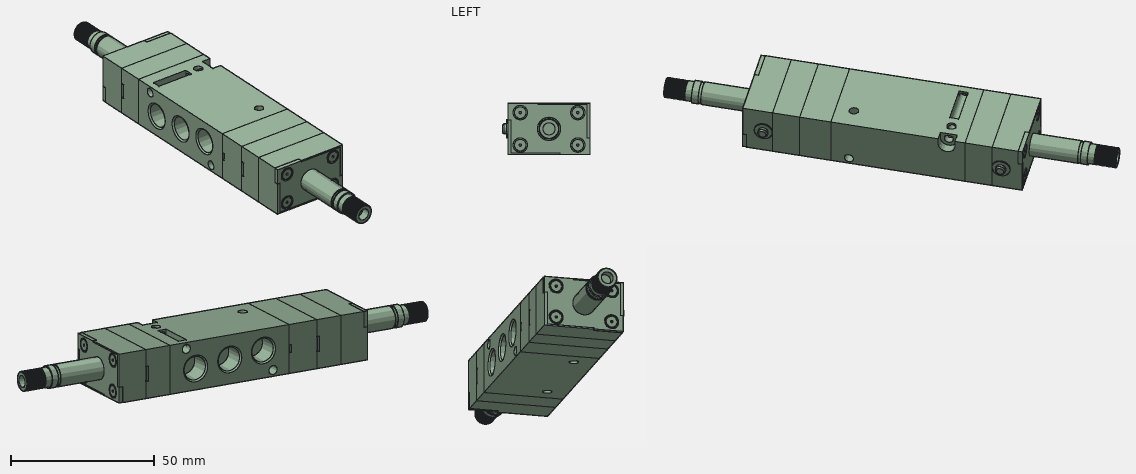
import cadquery as cq


length = 161.5
width = 28.6
height = 18.0
end_block_length = 10.8
adapter_length = 9.7
spacer_length = 11.1
stack_half_length = 50.0

adapter_left_x = -stack_half_length + end_block_length
valve_left_x = adapter_left_x + adapter_length
adapter_right_x = stack_half_length - end_block_length - adapter_length
spacer_left_x = adapter_right_x - spacer_length
valve_length = spacer_left_x - valve_left_x

front_y = -width / 2
back_y = width / 2
top_z = height / 2

mount_hole_dia = 3.2
mount_left_x = -23.0
mount_right_x = 12.0
cross_hole_z = 6.6
vertical_hole_y = 6.8
slot_front_y = -11.6
slot_back_y = 2.6
head_recess_dia = 6.0
head_recess_depth = 3.4

port_centers = [(-19.2, -1.1), (-5.5, 0.0), (8.0, 1.1)]
port_dia = 8.5
port_mouth_dia = 9.7
port_chamfer = (port_mouth_dia - port_dia) / 2
port_depth = 8.0

notch_length = 1.0
notch_depth = 1.0
adapter_notch_height = 5.5
spacer_notch_height = 2.7

screw_y = 10.0
screw_z = 5.7
screw_head_dia = 4.0
screw_clearance_dia = 5.0
screw_ring_depth = 0.8
socket_dia = 0.8
socket_depth = 0.8
relief_depth = 0.08
corner_length_y = 10.5
corner_length_z = 5.8
side_relief_length = 1.55
face_relief_width_y = 1.07
face_relief_width_z = 0.5

tube_radius = 4.0
neck_radius = 3.5
thread_length = 7.6
thread_turns = 10
thread_depth = 0.25
neck_end = 10.0
groove_start = 12.5
groove_width = 1.0
groove_depth = 0.3
bore_radius = 2.1
bore_depth = 3.2

button_x = 42.5
button_base_dia = 6.5
button_base_height = 0.5
button_dia = 3.5
button_height = 2.0
button_chamfer = 0.5


def block(x_start, x_length):
    """Full-section block of the stack, starting at x_start."""
    return cq.Workplane("XY").box(x_length, width, height).translate((x_start + x_length / 2, 0, 0))


def box_between(low, high):
    """Box between two opposite corners."""
    size = [b - a for a, b in zip(low, high)]
    return cq.Workplane("XY").box(*size, centered=False).translate(low)


def cylinder_y(x, z, y_start, y_length, dia):
    """Cylinder along +Y from y_start."""
    axis_start = cq.Vector(x, y_start, z)
    return cq.Workplane(cq.Solid.makeCylinder(dia / 2, y_length, axis_start, cq.Vector(0, 1, 0)))


def notched_block(x_start, x_length, notch_height):
    """Block with a small notch in the front face at its left joint."""
    notch = box_between(
        (x_start, front_y, -notch_height / 2),
        (x_start + notch_length, front_y + notch_depth, notch_height / 2),
    )
    return block(x_start, x_length).cut(notch)


def make_port(x, z):
    """Blind port from the front face with a chamfered mouth."""
    mouth = cq.Solid.makeCone(
        port_mouth_dia / 2, port_dia / 2, port_chamfer, cq.Vector(x, front_y, z), cq.Vector(0, 1, 0)
    )
    return cylinder_y(x, z, front_y, port_depth, port_dia).union(cq.Workplane(mouth))


def make_valve_body():
    body = block(valve_left_x, valve_length)
    for x, z in port_centers:
        body = body.cut(make_port(x, z))

    for x, z in [(mount_left_x, cross_hole_z), (mount_right_x, -cross_hole_z)]:
        body = body.cut(cylinder_y(x, z, front_y, width, mount_hole_dia))
    vertical_holes = (
        cq.Workplane("XY", origin=(0, 0, -top_z))
        .pushPoints([(mount_left_x, vertical_hole_y), (mount_right_x, vertical_hole_y)])
        .circle(mount_hole_dia / 2)
        .extrude(height)
    )
    body = body.cut(vertical_holes)

    slot = box_between(
        (mount_left_x - mount_hole_dia / 2, slot_front_y, cross_hole_z),
        (mount_left_x + mount_hole_dia / 2, slot_back_y, top_z),
    )
    recess_y = back_y - head_recess_depth
    recess_round = cylinder_y(mount_left_x, cross_hole_z, recess_y, head_recess_depth, head_recess_dia)
    recess_opening = box_between(
        (mount_left_x - head_recess_dia / 2, recess_y, cross_hole_z),
        (mount_left_x + head_recess_dia / 2, back_y, top_z),
    )
    return body.cut(slot).cut(recess_round).cut(recess_opening)


def corner_frame(y_thickness, z_thickness, y_arm, z_arm, y_sign, z_sign):
    """L-shaped strip on the -X end face, along both edges that meet at the signed corner."""
    corner_y = y_sign * width / 2
    corner_z = z_sign * height / 2
    arm_end_y = corner_y - y_sign * y_arm
    arm_end_z = corner_z - z_sign * z_arm
    inner_y = corner_y - y_sign * y_thickness
    inner_z = corner_z - z_sign * z_thickness
    outline = [
        (corner_y, corner_z),
        (arm_end_y, corner_z),
        (arm_end_y, inner_z),
        (inner_y, inner_z),
        (inner_y, arm_end_z),
        (corner_y, arm_end_z),
    ]
    return cq.Workplane("YZ", origin=(-stack_half_length, 0, 0)).polyline(outline).close()


def make_end_block():
    """End block of the -X end."""
    body = block(-stack_half_length, end_block_length)

    for sign in (1, -1):
        side_relief = corner_frame(relief_depth, relief_depth, corner_length_y, corner_length_z, sign, sign)
        body = body.cut(side_relief.extrude(side_relief_length))
        face_relief = corner_frame(
            face_relief_width_y, face_relief_width_z,
            width - corner_length_y, height - corner_length_z, sign, -sign,
        )
        body = body.cut(face_relief.extrude(relief_depth))

    end_face = cq.Workplane("YZ", origin=(-stack_half_length, 0, 0))
    screws = end_face.rect(2 * screw_y, 2 * screw_z, forConstruction=True).vertices()
    rings = screws.circle(screw_clearance_dia / 2).circle(screw_head_dia / 2).extrude(screw_ring_depth)
    sockets = screws.circle(socket_dia / 2).extrude(socket_depth)
    return body.cut(rings).cut(sockets)


def make_tube():
    """Solenoid tube of the -X end, turned about the X axis."""
    end_x = -length / 2
    pitch = thread_length / thread_turns
    root_radius = neck_radius - thread_depth
    crest_width = pitch / 2 - thread_depth
    groove_x = end_x + groove_start
    groove_radius = tube_radius - groove_depth

    points = [(end_x + bore_depth, 0), (end_x + bore_depth, bore_radius), (end_x, bore_radius)]
    for turn in range(thread_turns):
        ridge_x = end_x + turn * pitch
        points += [
            (ridge_x, root_radius),
            (ridge_x + thread_depth, neck_radius),
            (ridge_x + thread_depth + crest_width, neck_radius),
            (ridge_x + 2 * thread_depth + crest_width, root_radius),
        ]
    points += [
        (end_x + thread_length, root_radius),
        (end_x + thread_length, neck_radius),
        (end_x + neck_end, neck_radius),
        (end_x + neck_end, tube_radius),
        (groove_x, tube_radius),
        (groove_x, groove_radius),
        (groove_x + groove_width, groove_radius),
        (groove_x + groove_width, tube_radius),
        (-stack_half_length, tube_radius),
        (-stack_half_length, 0),
    ]
    return cq.Workplane("XZ").polyline(points).close().revolve(360, (0, 0, 0), (1, 0, 0))


def make_button(x):
    """Manual override button on the back face: a round foot and a chamfered stud."""
    foot = cylinder_y(x, 0, back_y, button_base_height, button_base_dia)
    stud = cylinder_y(x, 0, back_y, button_height, button_dia).faces(">Y").chamfer(button_chamfer)
    return foot.union(stud)


def turned_to_right(body):
    """The same body turned half a turn about Z, for the +X end."""
    return body.rotate((0, 0, 0), (0, 0, 1), 180)


valve_body = make_valve_body()
spacer = notched_block(spacer_left_x, spacer_length, spacer_notch_height)
adapters = [
    notched_block(x, adapter_length, adapter_notch_height) for x in (adapter_left_x, adapter_right_x)
]
end_block = make_end_block()
end_blocks = [end_block, turned_to_right(end_block)]
tube = make_tube()
tubes = [tube, turned_to_right(tube)]
buttons = [make_button(x) for x in (-button_x, button_x)]

bodies = [valve_body, spacer, *adapters, *end_blocks, *tubes, *buttons]
result = cq.Compound.makeCompound([body.val() for body in bodies])